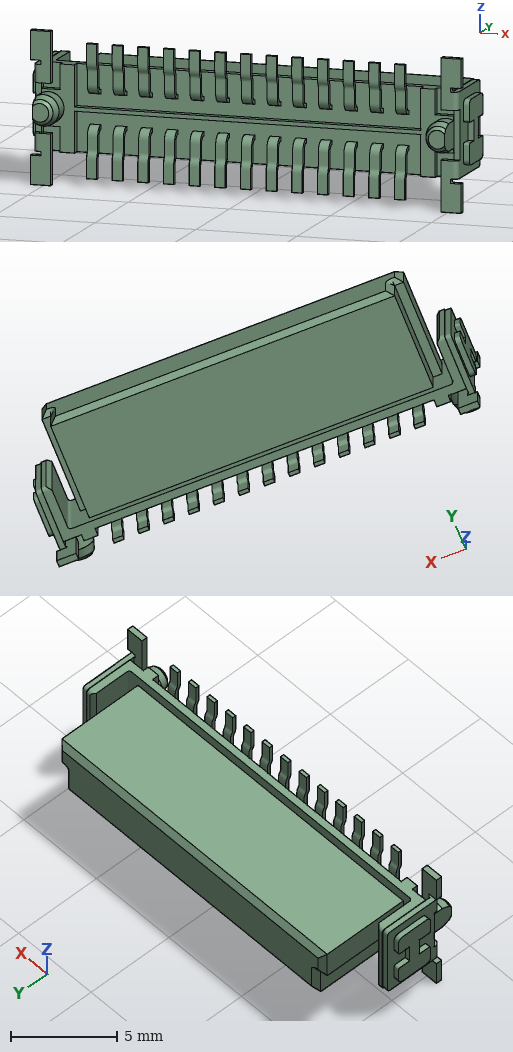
import cadquery as cq
import math


OVERALL_LENGTH = 21.59

BASE_HALF_LENGTH = 10.2
HOUSING_HALF_HEIGHT = 2.12
BASE_BACK_Y = -2.3
BASE_FRONT_Y = -1.52
EAR_FRONT_Y = 0.82
EAR_THICKNESS = 0.46
EAR_CHAMFER = 0.22
EAR_CORNER_ROUND = 0.22
EAR_ROOT_ROUND = 0.15

BLOCK_HALF_LENGTH = 9.15
BLOCK_HALF_HEIGHT = 1.53
BLOCK_STEP = 0.45
BLOCK_FRONT_Y = 3.64
BLOCK_CHAMFER_DEPTH = 0.28
BLOCK_CHAMFER_INSET = 0.34

RECESS_HALF_LENGTH = 8.57
RECESS_DEPTH = 0.37
RIB_WIDTH = 0.2
NOTCH_LENGTH = 0.92
NOTCH_DEPTH = 0.32
NOTCH_INNER_Z = 0.89

LEADS_PER_ROW = 13
LEAD_PITCH = 1.27
LEAD_WIDTH = 0.51
LEAD_THICKNESS = 0.2
LEAD_BEND_RADIUS = 0.4
LEAD_ROOT_Z = 0.745
LEAD_TIP_Z = 3.24
LEAD_FOOT_Y = -2.59
LEAD_JOG = 0.14
LEAD_JOG_START_Z = 1.87
LEAD_ANCHOR = 0.2

PEG_X = 9.84
PEG_RADIUS = 0.76
PEG_SHOULDER_Y = -3.04
PEG_TAPER_RADIUS = 0.61
PEG_TAPER_Y = -3.49
PEG_TIP_RADIUS = 0.45
PEG_TIP_Y = -3.64

PLATE_HALF_HEIGHT = 2.09
PLATE_THICKNESS = 0.3
PLATE_FRONT_Y = 0.76
PLATE_BACK_Y = -2.25
PLATE_CORNER_ROUND = 0.2
TAB_BACK_Y = -2.58
TAB_BEND_RADIUS = 0.25
TAB_ROOT_Z = 1.21
TAB_TIP_Z = 3.7
TAB_INNER_X = 9.66
TAB_OUTER_X = 10.65
SLIT_END_X = 10.13
SLIT_WIDTH = 0.2
SLIT_CORNER_ROUND = 0.05

PAD_OUTER_X = OVERALL_LENGTH / 2
PAD_CENTRE_Y = -0.71
PAD_LENGTH = 2.06
PAD_HALF_HEIGHT = 1.58
PAD_WEB_LENGTH = 0.64
PAD_WEB_HALF_HEIGHT = 0.5
PAD_CORNER_ROUND = 0.28
PAD_INNER_CORNER_ROUND = 0.12

PLATE_OUTER_X = BASE_HALF_LENGTH + PLATE_THICKNESS


def box(x_range, y_range, z_range):
    """Box spanning the given (low, high) limits."""
    sizes = [high - low for low, high in (x_range, y_range, z_range)]
    corner = (x_range[0], y_range[0], z_range[0])
    return cq.Workplane("XY").box(*sizes, centered=False).translate(corner)


def with_mirror(body, plane):
    """The body joined with its mirror image across the given plane."""
    return body.union(body.mirror(plane))


def make_ear():
    """Upright ear on the +X end, chamfered inside its front edge and rounded at its root."""
    height = (-HOUSING_HALF_HEIGHT, HOUSING_HALF_HEIGHT)
    inner_x = BASE_HALF_LENGTH - EAR_THICKNESS
    ear = box((inner_x, BASE_HALF_LENGTH), (BASE_BACK_Y, EAR_FRONT_Y), height)
    ear = ear.faces(">Y").edges("|X").fillet(EAR_CORNER_ROUND)
    front_chamfer = (
        cq.Workplane("XY")
        .moveTo(inner_x, EAR_FRONT_Y - EAR_CHAMFER)
        .line(EAR_CHAMFER, EAR_CHAMFER)
        .line(-EAR_CHAMFER, 0)
        .close()
        .extrude(HOUSING_HALF_HEIGHT, both=True)
    )
    root_x = inner_x - EAR_ROOT_ROUND
    root_y = BASE_FRONT_Y + EAR_ROOT_ROUND
    root_hollow = (
        cq.Workplane("XY")
        .center(root_x, root_y)
        .circle(EAR_ROOT_ROUND)
        .extrude(HOUSING_HALF_HEIGHT, both=True)
    )
    root = box((root_x, inner_x), (BASE_FRONT_Y, root_y), height).cut(root_hollow)
    return ear.cut(front_chamfer).union(root)


def make_base():
    """Base plate with an ear at each end."""
    plate = box(
        (-BASE_HALF_LENGTH, BASE_HALF_LENGTH),
        (BASE_BACK_Y, BASE_FRONT_Y),
        (-HOUSING_HALF_HEIGHT, HOUSING_HALF_HEIGHT),
    )
    return plate.union(with_mirror(make_ear(), "YZ"))


def make_block():
    """Mating block with its front edges bevelled all round."""
    straight_y = BLOCK_FRONT_Y - BLOCK_CHAMFER_DEPTH
    depth = (BASE_FRONT_Y, straight_y)
    narrow = BLOCK_HALF_LENGTH - BLOCK_STEP
    upper = box((-BLOCK_HALF_LENGTH, BLOCK_HALF_LENGTH), depth, (0, BLOCK_HALF_HEIGHT))
    lower = box((-narrow, narrow), depth, (-BLOCK_HALF_HEIGHT, 0))
    straight = upper.union(lower)
    outline = straight.faces(">Y").wires().val()
    bevel_angle = math.degrees(math.atan2(BLOCK_CHAMFER_INSET, BLOCK_CHAMFER_DEPTH))
    nose = cq.Solid.extrudeLinear(outline, [], cq.Vector(0, BLOCK_CHAMFER_DEPTH, 0), bevel_angle)
    return straight.union(cq.Workplane(nose))


def make_back_recesses():
    """Two long lead recesses with a rib between them, and four end notches."""
    recess = box(
        (-RECESS_HALF_LENGTH, RECESS_HALF_LENGTH),
        (BASE_BACK_Y, BASE_BACK_Y + RECESS_DEPTH),
        (RIB_WIDTH / 2, HOUSING_HALF_HEIGHT),
    )
    notch = box(
        (-BASE_HALF_LENGTH, -BASE_HALF_LENGTH + NOTCH_LENGTH),
        (BASE_BACK_Y, BASE_BACK_Y + NOTCH_DEPTH),
        (NOTCH_INNER_Z, HOUSING_HALF_HEIGHT),
    )
    return with_mirror(recess.union(with_mirror(notch, "YZ")), "XY")


def make_lead():
    """Upper-row lead at X = 0, swept along its centreline."""
    root_y = BASE_BACK_Y + RECESS_DEPTH
    root_z = LEAD_ROOT_Z + LEAD_THICKNESS / 2
    foot_y = LEAD_FOOT_Y + LEAD_THICKNESS / 2
    shank_y = foot_y + LEAD_JOG
    jog_angle = math.acos(1 - LEAD_JOG / (2 * LEAD_BEND_RADIUS))
    jog_half_z = LEAD_BEND_RADIUS * math.sin(jog_angle)
    jog_middle = (shank_y - LEAD_JOG / 2, LEAD_JOG_START_Z + jog_half_z)
    jog_end = (foot_y, LEAD_JOG_START_Z + 2 * jog_half_z)
    path = (
        cq.Workplane("YZ")
        .moveTo(root_y + LEAD_ANCHOR, root_z)
        .lineTo(shank_y + LEAD_BEND_RADIUS, root_z)
        .tangentArcPoint((shank_y, root_z + LEAD_BEND_RADIUS), relative=False)
        .lineTo(shank_y, LEAD_JOG_START_Z)
        .tangentArcPoint(jog_middle, relative=False)
        .tangentArcPoint(jog_end, relative=False)
        .lineTo(foot_y, LEAD_TIP_Z)
    )
    return (
        cq.Workplane("XZ", origin=(0, root_y + LEAD_ANCHOR, root_z))
        .rect(LEAD_WIDTH, LEAD_THICKNESS)
        .sweep(path)
    )


def make_peg():
    """Tapered peg on the -X end, cut flat at the end of the base."""
    peg = (
        cq.Workplane("XY")
        .moveTo(0, BASE_FRONT_Y)
        .lineTo(PEG_RADIUS, BASE_FRONT_Y)
        .lineTo(PEG_RADIUS, PEG_SHOULDER_Y)
        .lineTo(PEG_TAPER_RADIUS, PEG_TAPER_Y)
        .lineTo(PEG_TIP_RADIUS, PEG_TIP_Y)
        .lineTo(0, PEG_TIP_Y)
        .close()
        .revolve(360, (0, 0, 0), (0, 1, 0))
        .translate((-PEG_X, 0, 0))
    )
    beyond_base = box(
        (-PEG_X - PEG_RADIUS, -BASE_HALF_LENGTH), (PEG_TIP_Y, BASE_FRONT_Y), (-PEG_RADIUS, PEG_RADIUS)
    )
    return peg.cut(beyond_base)


def make_tab():
    """Upper solder tab of the -X end plate, bent at its root and slit at the plate's edge."""
    thickness = (TAB_BACK_Y, PLATE_BACK_Y)
    slit_top_z = PLATE_HALF_HEIGHT + SLIT_WIDTH
    root = box((-PLATE_OUTER_X, -TAB_INNER_X), thickness, (TAB_ROOT_Z, slit_top_z))
    root = root.edges("|Z and <X and <Y").fillet(TAB_BEND_RADIUS)
    foot = box((-TAB_OUTER_X, -TAB_INNER_X), thickness, (slit_top_z, TAB_TIP_Z))
    slit = box((-TAB_OUTER_X, -SLIT_END_X), thickness, (PLATE_HALF_HEIGHT, slit_top_z))
    slit = slit.faces(">X").edges("|Y").fillet(SLIT_CORNER_ROUND)
    return root.union(foot).cut(slit)


def make_pad():
    """H-shaped pad of the -X end plate."""
    depth = (-PAD_OUTER_X, -PLATE_OUTER_X)
    end_y = (PAD_CENTRE_Y - PAD_LENGTH / 2, PAD_CENTRE_Y + PAD_LENGTH / 2)
    web_y = (PAD_CENTRE_Y - PAD_WEB_LENGTH / 2, PAD_CENTRE_Y + PAD_WEB_LENGTH / 2)
    bar = box(depth, end_y, (PAD_WEB_HALF_HEIGHT, PAD_HALF_HEIGHT))
    bar = bar.faces(">Z").edges("|X").fillet(PAD_CORNER_ROUND)
    bar = bar.faces("<Z").edges("|X").fillet(PAD_INNER_CORNER_ROUND)
    web = box(depth, web_y, (-PAD_WEB_HALF_HEIGHT, PAD_WEB_HALF_HEIGHT))
    return with_mirror(bar, "XY").union(web)


def make_end_plate():
    """Metal plate on the -X end with its two solder tabs and outer pad."""
    plate = box(
        (-PLATE_OUTER_X, -BASE_HALF_LENGTH),
        (PLATE_BACK_Y, PLATE_FRONT_Y),
        (-PLATE_HALF_HEIGHT, PLATE_HALF_HEIGHT),
    )
    plate = plate.faces(">Y").edges("|X").fillet(PLATE_CORNER_ROUND)
    return plate.union(with_mirror(make_tab(), "XY")).union(make_pad())


result = make_base().cut(make_back_recesses()).union(make_block())

end_fittings = make_peg().union(make_end_plate())
result = result.union(with_mirror(end_fittings, "YZ"))

lead_pair = with_mirror(make_lead(), "XY")
for index in range(LEADS_PER_ROW):
    lead_x = (index - (LEADS_PER_ROW - 1) / 2) * LEAD_PITCH
    result = result.union(lead_pair.translate((lead_x, 0, 0)))